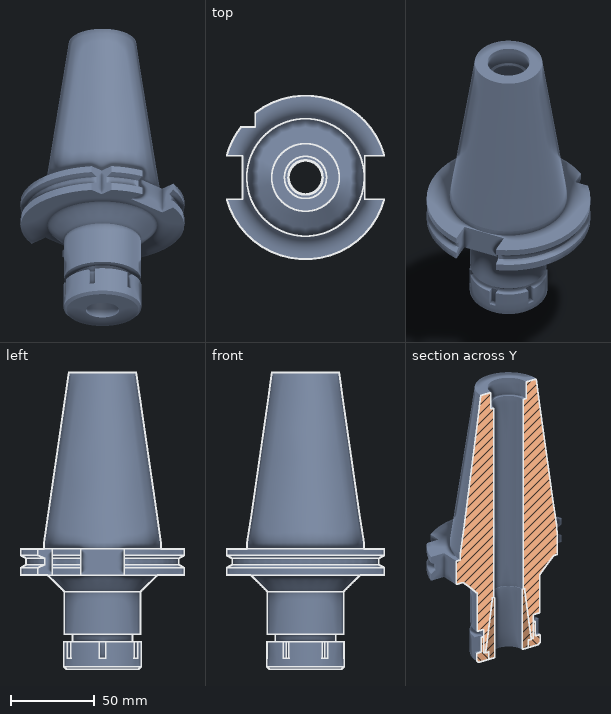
import cadquery as cq
import math


total_height = 176.8
gauge_z = 75.0
flange_top_z = 71.8
flange_bottom_z = 56.0
shoulder_bottom_z = 46.3
body_bottom_z = 20.9
nut_height = 16.5

gauge_radius = 35.0
taper_ratio = 7 / 24
taper_top_radius = gauge_radius - (total_height - gauge_z) * taper_ratio / 2
flange_radius = 48.8
shoulder_radius = 32.7
body_radius = 22.8
neck_radius = 18.0

groove_floor_radius = 45.6
groove_floor_width = 3.7
groove_flank_angle = 30.0
groove_z = 64.2

drive_slot_width = 25.8
left_slot_floor = 37.6
right_slot_floor = 35.4
notch_corner = 30.0

through_bore_radius = 10.5
counterbore_radius = 12.5
counterbore_depth = 11.0

nut_radius = 23.2
nut_chamfer = 1.6
nut_front_thickness = 5.3
nut_opening_radius = 14.1
spanner_slot_count = 6
spanner_slot_width = 3.9
spanner_slot_bottom_z = 6.7
spanner_slot_floor_radius = 19.6

collet_height = 40.0
collet_large_radius = 16.3
collet_half_angle = 8.0
collet_bore_radius = 9.9
collet_cone_height = collet_height - nut_front_thickness
collet_small_radius = collet_large_radius - collet_cone_height * math.tan(math.radians(collet_half_angle))


def revolve_profile(points):
    """Revolve a closed outline of (radius, z) points about the Z axis."""
    return cq.Workplane("YZ").polyline(points).close().revolve(360, (0, 0, 0), (0, 1, 0))


def cylinder(radius, bottom_z, top_z):
    return revolve_profile([(0, bottom_z), (radius, bottom_z), (radius, top_z), (0, top_z)])


def box_between(x_range, y_range, z_range):
    """Axis-aligned box given by its low and high limits on each axis."""
    lengths = [high - low for low, high in (x_range, y_range, z_range)]
    corner = (x_range[0], y_range[0], z_range[0])
    return cq.Workplane("XY").box(*lengths, centered=False).translate(corner)


def collet_cone():
    """Clamping cone shared by the collet and its seat in the holder."""
    return revolve_profile([
        (0, nut_front_thickness),
        (collet_large_radius, nut_front_thickness),
        (collet_small_radius, collet_height),
        (0, collet_height),
    ])


def gripper_groove():
    floor_half_width = groove_floor_width / 2
    flank_rise = (flange_radius - groove_floor_radius) * math.tan(math.radians(groove_flank_angle))
    mouth_half_width = floor_half_width + flank_rise
    return revolve_profile([
        (groove_floor_radius, groove_z - floor_half_width),
        (flange_radius, groove_z - mouth_half_width),
        (flange_radius, groove_z + mouth_half_width),
        (groove_floor_radius, groove_z + floor_half_width),
    ])


def flange():
    disc = cylinder(flange_radius, flange_bottom_z, flange_top_z).cut(gripper_groove())
    thickness = (flange_bottom_z, flange_top_z)
    slot_sides = (-drive_slot_width / 2, drive_slot_width / 2)
    left_slot = box_between((-flange_radius, -left_slot_floor), slot_sides, thickness)
    right_slot = box_between((right_slot_floor, flange_radius), slot_sides, thickness)
    notch = box_between((-flange_radius, -notch_corner), (notch_corner, flange_radius), thickness)
    return disc.cut(left_slot).cut(right_slot).cut(notch)


def make_holder():
    core = revolve_profile([
        (0, nut_front_thickness),
        (neck_radius, nut_front_thickness),
        (neck_radius, body_bottom_z),
        (body_radius, body_bottom_z),
        (body_radius, shoulder_bottom_z),
        (shoulder_radius, flange_bottom_z),
        (gauge_radius, flange_bottom_z),
        (gauge_radius, gauge_z),
        (taper_top_radius, total_height),
        (0, total_height),
    ])
    through_bore = cylinder(through_bore_radius, nut_front_thickness, total_height)
    counterbore = cylinder(counterbore_radius, total_height - counterbore_depth, total_height)
    return core.union(flange()).cut(through_bore).cut(counterbore).cut(collet_cone())


def make_nut():
    """Cup around the neck, with spanner slots open to its upper face."""
    nut = cylinder(nut_radius, 0, nut_height).faces("<Z").edges().chamfer(nut_chamfer)
    nut = nut.cut(cylinder(nut_opening_radius, 0, nut_front_thickness))
    nut = nut.cut(cylinder(neck_radius, nut_front_thickness, nut_height))
    spanner_slot = box_between(
        (spanner_slot_floor_radius, nut_radius),
        (-spanner_slot_width / 2, spanner_slot_width / 2),
        (spanner_slot_bottom_z, nut_height),
    )
    for index in range(spanner_slot_count):
        angle = index * 360 / spanner_slot_count
        nut = nut.cut(spanner_slot.rotate((0, 0, 0), (0, 0, 1), angle))
    return nut


def make_collet():
    nose = cylinder(nut_opening_radius, 0, nut_front_thickness)
    return nose.union(collet_cone()).cut(cylinder(collet_bore_radius, 0, collet_height))


holder = make_holder()
nut = make_nut()
collet = make_collet()

result = cq.Compound.makeCompound([holder.val(), nut.val(), collet.val()])